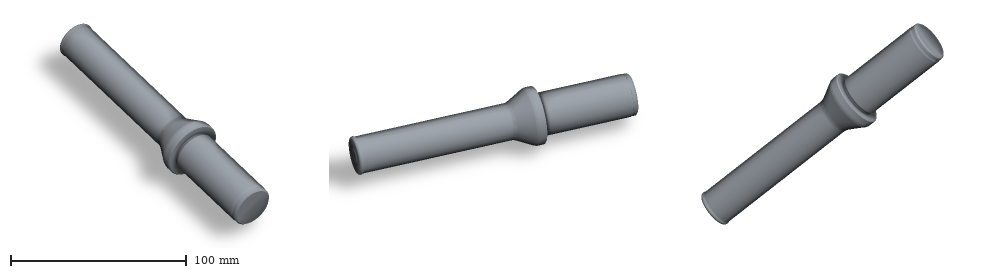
import cadquery as cq

total_length = 166.0
shank_radius = 21.5 / 2
flange_radius = 34.0 / 2
body_radius = 25.0 / 2
cap_radius = 24.5 / 2

rim_radius = 22.4 / 2
rim_rounding = 1.3
rim_end = 1.7
rim_taper_end = 2.7

cone_start = 93.0
cone_end = 104.7
cone_root_fillet = 5.3
cone_crest_fillet = 3.3
flange_end = 110.0
flange_chamfer = 0.5

undercut_radius = 12.0
undercut_end = 111.0
body_start = 112.0
body_end_chamfer_length = 1.0
body_end_chamfer_depth = 0.3

cap_length = 3.0
cap_chamfer = 0.8
cap_start = total_length - cap_length

groove_outer_radius = 7.5
groove_floor_radius = 5.3
dimple_radius = 3.5
groove_depth = 0.3
dimple_depth = 0.5


def revolve_about_x(profile):
    """Turn a closed (x, radius) profile into a solid around the X axis."""
    return profile.close().revolve(360, (0, 0, 0), (1, 0, 0))


def make_pin():
    """Shank, conical collar and thicker cylinder, turned as one body."""
    pin = revolve_about_x(
        cq.Workplane("XY")
        .moveTo(dimple_depth, 0)
        .lineTo(0, dimple_radius)
        .lineTo(groove_depth, groove_floor_radius)
        .lineTo(0, groove_outer_radius)
        .lineTo(0, rim_radius - rim_rounding)
        .radiusArc((rim_rounding, rim_radius), rim_rounding)
        .lineTo(rim_end, rim_radius)
        .lineTo(rim_taper_end, shank_radius)
        .lineTo(cone_start, shank_radius)
        .lineTo(cone_end, flange_radius)
        .lineTo(flange_end - flange_chamfer, flange_radius)
        .lineTo(flange_end, flange_radius - flange_chamfer)
        .lineTo(flange_end, undercut_radius)
        .lineTo(undercut_end, undercut_radius)
        .lineTo(body_start, body_radius)
        .lineTo(cap_start - body_end_chamfer_length, body_radius)
        .lineTo(cap_start, body_radius - body_end_chamfer_depth)
        .lineTo(cap_start, 0)
    )
    pin = fillet_circle_at(pin, cone_start, cone_root_fillet)
    return fillet_circle_at(pin, cone_end, cone_crest_fillet)


def fillet_circle_at(solid, x, radius):
    """Round the circular edge that lies in the plane at the given x."""
    margin = 0.2
    slab = cq.selectors.BoxSelector(
        (x - margin, -flange_radius, -flange_radius),
        (x + margin, flange_radius, flange_radius),
    )
    return solid.edges("%CIRCLE").edges(slab).fillet(radius)


def make_end_cap():
    """Disc with a chamfered outer rim that closes the thicker cylinder."""
    return (
        cq.Workplane("YZ", origin=(cap_start, 0, 0))
        .circle(cap_radius)
        .extrude(cap_length)
        .faces(">X")
        .chamfer(cap_chamfer)
    )


pin = make_pin()
end_cap = make_end_cap()
result = cq.Compound.makeCompound([pin.val(), end_cap.val()])